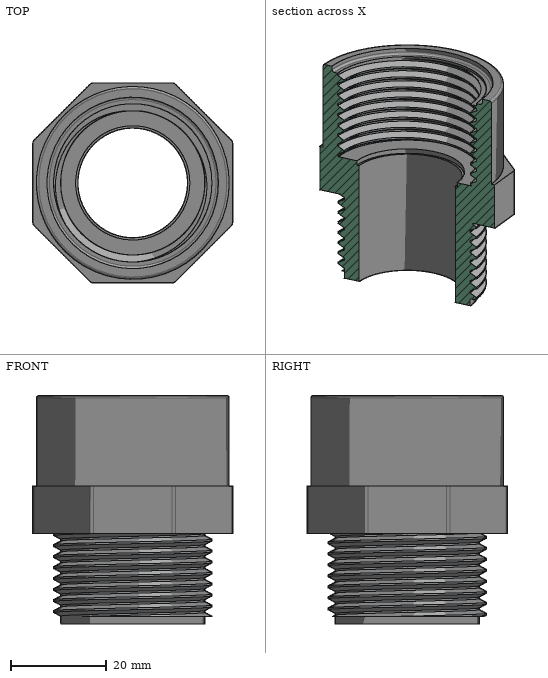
import cadquery as cq
import math

male_length = 19.0
collar_height = 10.0
female_length = 19.0
total_height = male_length + collar_height + female_length

collar_sides = 8
across_flats = 42.0
collar_edge_fillet = 1.0

body_diameter = 40.5
rim_fillet = 0.5

thread_major = 33.25
thread_minor = 30.29
thread_pitch = 2.309
crest_width = thread_pitch / 6
base_width = thread_pitch - crest_width
thread_depth = (thread_major - thread_minor) / 2
thread_embed = 0.2
embed_width = base_width + (base_width - crest_width) * thread_embed / thread_depth

male_thread_start = 1.6
male_crest_z = 1.5
core_overlap = 6.0
ridge_overlap = 1.0

seal_diameter = 36.0
seal_depth = 1.3
seal_fillet = 0.5
thread_run_in = 0.5
female_thread_depth = seal_depth + thread_run_in
female_crest_offset = 0.4
socket_depth = 20.4
bore_diameter = 23.0
bore_relief_diameter = 24.0
bore_relief_depth = 1.0


def cylinder(diameter, bottom, top):
    return cq.Workplane("XY").workplane(offset=bottom).circle(diameter / 2).extrude(top - bottom)


def thread_ridge(root_radius, crest_radius, crest_z, bottom, top):
    """Helical ridge whose crest crosses the +X side at crest_z, trimmed flat at bottom and top.

    The flanks run on past the root by thread_embed, so that the ridge overlaps its wall.
    """
    embed_radius = root_radius + math.copysign(thread_embed, root_radius - crest_radius)
    turns_below = math.ceil((crest_z - bottom) / thread_pitch) + 1
    start_z = crest_z - turns_below * thread_pitch
    turns = math.ceil((top - start_z) / thread_pitch) + 1
    path = cq.Wire.makeHelix(thread_pitch, turns * thread_pitch, root_radius, center=cq.Vector(0, 0, start_z))
    profile = (
        cq.Workplane("XZ")
        .moveTo(embed_radius, start_z - embed_width / 2)
        .lineTo(crest_radius, start_z - crest_width / 2)
        .lineTo(crest_radius, start_z + crest_width / 2)
        .lineTo(embed_radius, start_z + embed_width / 2)
        .close()
    )
    ridge = profile.sweep(cq.Workplane(path), isFrenet=True)
    return ridge.intersect(cylinder(body_diameter, bottom, top))


def make_collar():
    octagon_diameter = across_flats / math.cos(math.pi / collar_sides)
    collar = (
        cq.Workplane("XY")
        .workplane(offset=male_length)
        .transformed(rotate=(0, 0, 180 / collar_sides))
        .polygon(collar_sides, octagon_diameter)
        .extrude(collar_height)
    )
    return collar.edges("|Z").fillet(collar_edge_fillet)


def make_body():
    body = cylinder(body_diameter, male_length + collar_height, total_height)
    return body.faces(">Z").edges().fillet(rim_fillet)


def make_socket():
    """Negative of the female end: sealing recess, threaded bore and the relieved passage below."""
    seat_z = total_height - socket_depth
    seal_z = total_height - seal_depth
    recess = cylinder(seal_diameter, seal_z, total_height).faces("<Z").edges().fillet(seal_fillet)
    threaded = cylinder(thread_major, seat_z, seal_z)
    relief = cylinder(bore_relief_diameter, seat_z - bore_relief_depth, seat_z)
    passage = cylinder(bore_diameter, 0, seat_z)
    ridge_top = total_height - female_thread_depth
    ridge = thread_ridge(
        thread_major / 2, thread_minor / 2, ridge_top - female_crest_offset, seat_z, ridge_top
    )
    return recess.union(threaded.cut(ridge)).union(relief).union(passage)


def make_male_end():
    """Threaded spigot; its core and ridge run on into the collar so that the solids overlap."""
    core = cylinder(thread_minor, 0, male_length + core_overlap)
    ridge = thread_ridge(
        thread_minor / 2, thread_major / 2, male_crest_z, male_thread_start, male_length + ridge_overlap
    )
    return core.union(ridge)


result = make_male_end().union(make_collar()).union(make_body()).cut(make_socket())